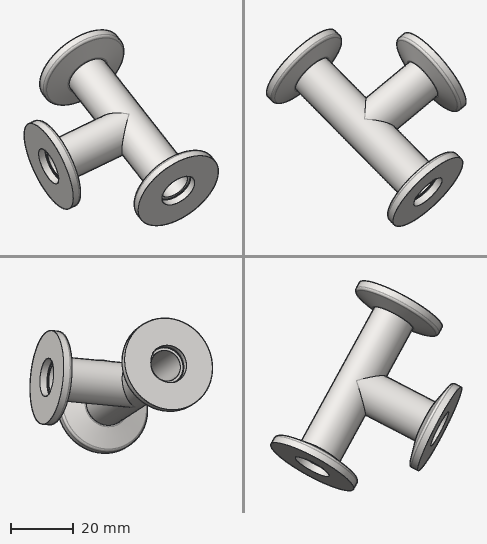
import cadquery as cq
import math

half_run = 30.0
branch_length = 30.0

tube_radius = 7.0
bore_radius = 5.0

flange_radius = 15.0
flange_rim = 2.25
flange_thickness = 5.0
cone_angle = 15.0
edge_round = 0.95

recess_radius = 6.1
recess_depth = 2.6
recess_bevel = 0.2


def pipes(radius):
    """Round bars along the run and the branch, used for both the tubes and the bores."""
    run = cq.Workplane("YZ").circle(radius).extrude(half_run, both=True)
    branch = cq.Workplane("XZ").circle(radius).extrude(branch_length)
    return run.union(branch)


def revolve_around_z(profile):
    """Turn a closed radius-height profile into a full solid around Z."""
    return profile.revolve(360, (0, 0, 0), (0, 1, 0))


def point_on_round(angle):
    """Radius and height of a point on the rim round, at an angle past the rim."""
    return (
        flange_radius - edge_round + edge_round * math.cos(angle),
        flange_rim + edge_round * math.sin(angle),
    )


def flange_blank():
    """Solid flange around Z, sealing face at Z = 0, cone narrowing toward +Z."""
    slope = math.radians(cone_angle)
    round_sweep = math.pi / 2 - slope
    mid_point = point_on_round(round_sweep / 2)
    end_point = point_on_round(round_sweep)
    cone_end_radius = end_point[0] - (flange_thickness - end_point[1]) / math.tan(slope)
    profile = (
        cq.Workplane("XZ")
        .lineTo(flange_radius, 0)
        .lineTo(flange_radius, flange_rim)
        .threePointArc(mid_point, end_point)
        .lineTo(cone_end_radius, flange_thickness)
        .lineTo(0, flange_thickness)
        .close()
    )
    return revolve_around_z(profile)


def recess_cutter():
    """Recess around Z, opening at Z = 0, with a bevelled corner at its floor."""
    profile = (
        cq.Workplane("XZ")
        .lineTo(recess_radius, 0)
        .lineTo(recess_radius, recess_depth - recess_bevel)
        .lineTo(recess_radius - recess_bevel, recess_depth)
        .lineTo(0, recess_depth)
        .close()
    )
    return revolve_around_z(profile)


def at_port(shape, port):
    """Move a shape built around Z to a port, its +Z axis pointing into the tee."""
    inward = tuple(-p for p in port)
    plane = cq.Plane(origin=port, xDir=(0, 0, 1), normal=inward)
    return cq.Workplane(shape.val().moved(plane.location))


ports = [(-half_run, 0, 0), (half_run, 0, 0), (0, -branch_length, 0)]

body = pipes(tube_radius)
for port in ports:
    body = body.union(at_port(flange_blank(), port))

body = body.cut(pipes(bore_radius))
for port in ports:
    body = body.cut(at_port(recess_cutter(), port))

result = body